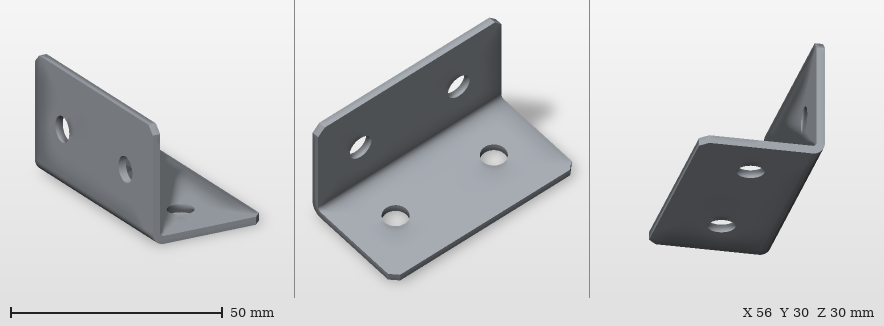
import cadquery as cq

length = 56.0
leg = 30.0
thickness = 2.0
inner_bend_radius = 1.0
corner_chamfer = 2.0
hole_diameter = 6.6
hole_spacing = 30.0

outer_bend_radius = inner_bend_radius + thickness
hole_offset = leg / 2


def bent_sheet():
    """L-shaped sheet, upright leg at -Y and flat leg at the bottom."""
    profile = (
        cq.Workplane("YZ")
        .lineTo(leg, 0)
        .lineTo(leg, thickness)
        .lineTo(thickness, thickness)
        .lineTo(thickness, leg)
        .lineTo(0, leg)
        .close()
    )
    sheet = profile.extrude(length / 2, both=True)
    inside_corner = cq.selectors.NearestToPointSelector((0, thickness, thickness))
    outside_corner = cq.selectors.NearestToPointSelector((0, 0, 0))
    sheet = sheet.edges(inside_corner).fillet(inner_bend_radius)
    return sheet.edges(outside_corner).fillet(outer_bend_radius)


def chamfer_free_corners(sheet):
    """Cut the two outer corners at the free end of each leg."""
    sheet = sheet.faces(">Z").edges("|Y").chamfer(corner_chamfer)
    return sheet.faces(">Y").edges("|Z").chamfer(corner_chamfer)


def hole_pins(plane_name, offset):
    """Pair of circles on the outer face of one leg, ready to extrude into pins."""
    pins = cq.Workplane(plane_name).pushPoints(
        [(-hole_spacing / 2, offset), (hole_spacing / 2, offset)]
    )
    return pins.circle(hole_diameter / 2)


bracket = chamfer_free_corners(bent_sheet())
bracket = bracket.cut(hole_pins("XZ", hole_offset).extrude(-thickness))
bracket = bracket.cut(hole_pins("XY", hole_offset).extrude(thickness))

result = bracket